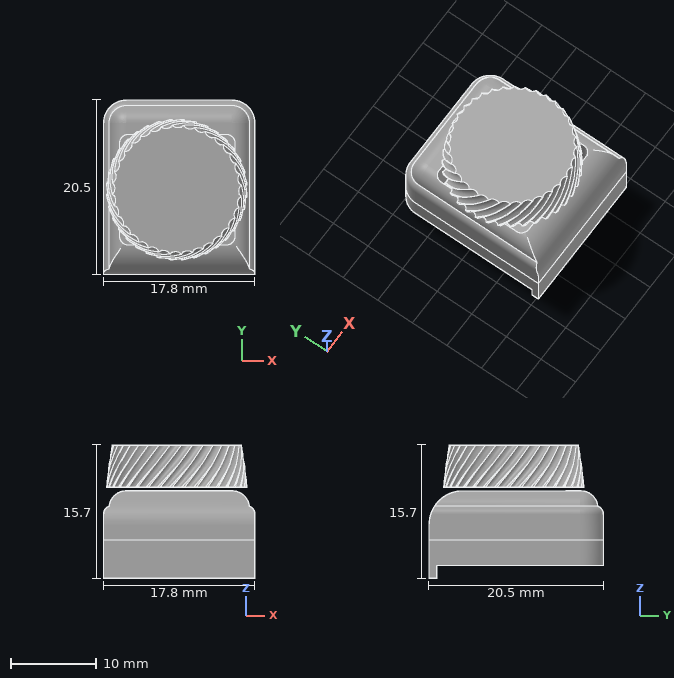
import cadquery as cq
import math

WIDTH = 17.8
LENGTH = 20.5
LIP_DEPTH = 1.5
PARTING_Z = 4.5
SHOULDER_TOP_Z = 8.55
COVER_TOP_Z = 10.3

CORNER_RADIUS = 2.7
SHOULDER_RADIUS = 1.0
CROWN_INSET = 0.64
CROWN_RADIUS = 2.05
BROW_RADIUS = 4.0

LIP_THICKNESS = 0.95
BASE_HOLE_WIDTH = 5.62
BASE_HOLE_LENGTH = 8.2

OPENING_CENTRE = (-0.23, -0.29)
OPENING_WIDTH = 13.55
OPENING_LENGTH = 12.98
OPENING_RADIUS = 1.0

KNOB_CENTRE = (-0.29, -0.29)
KNOB_BOTTOM_Z = 10.68
KNOB_TOP_Z = 15.65
KNOB_HEIGHT = KNOB_TOP_Z - KNOB_BOTTOM_Z
KNOB_BOTTOM_RADIUS = 8.26
KNOB_TOP_RADIUS = 7.7
GROOVE_COUNT = 36
GROOVE_OVERRUN = 0.2
GROOVE_STEPS = 3

GROOVE_JOIN_HEIGHT = 2.83
GROOVE_HEIGHTS = (0, GROOVE_JOIN_HEIGHT, KNOB_HEIGHT)
GROOVE_ANGLES = (0, 17.2, 29.0)
GROOVE_RADII = (0.57, 0.8, 0.88)
VALLEY_RADII = (7.83, 7.5, 7.28)

FRONT_Y = -LENGTH / 2
BACK_Y = LENGTH / 2


def rounded_back_block(inset, bottom_z, top_z):
    """A block with a square front and rounded rear corners, inset at the sides and back."""
    half_width = WIDTH / 2 - inset
    back = BACK_Y - inset
    return (
        cq.Workplane("XY", origin=(0, 0, bottom_z))
        .moveTo(-half_width, FRONT_Y)
        .lineTo(half_width, FRONT_Y)
        .lineTo(half_width, back)
        .lineTo(-half_width, back)
        .close()
        .extrude(top_z - bottom_z)
        .edges("|Z and >Y")
        .fillet(CORNER_RADIUS - inset)
    )


def make_base():
    """The lower housing: a block with a front lip below it and a rectangular hole through it."""
    block = rounded_back_block(0, LIP_DEPTH, PARTING_Z)
    lip = cq.Workplane("XY").box(WIDTH, LIP_THICKNESS, PARTING_Z, centered=(True, False, False))
    lip = lip.translate((0, FRONT_Y, 0))
    hole = cq.Workplane("XY").rect(BASE_HOLE_WIDTH, BASE_HOLE_LENGTH).extrude(PARTING_Z)
    return block.union(lip).cut(hole).solids()


def round_top(block, radius):
    """Round the top edge along the sides and back, leaving the front edge sharp."""
    return block.faces(">Z").edges("not <Y").fillet(radius)


def make_cover():
    """The upper housing: a raised crown on a shoulder, with the opening cut right through."""
    shoulder = round_top(rounded_back_block(0, PARTING_Z, SHOULDER_TOP_Z), SHOULDER_RADIUS)
    crown = round_top(rounded_back_block(CROWN_INSET, PARTING_Z, COVER_TOP_Z), CROWN_RADIUS)
    brow = (
        cq.Workplane("YZ")
        .moveTo(FRONT_Y, PARTING_Z)
        .lineTo(BACK_Y, PARTING_Z)
        .lineTo(BACK_Y, COVER_TOP_Z)
        .lineTo(FRONT_Y + BROW_RADIUS, COVER_TOP_Z)
        .radiusArc((FRONT_Y, COVER_TOP_Z - BROW_RADIUS), -BROW_RADIUS)
        .close()
        .extrude(WIDTH / 2, both=True)
    )
    opening = (
        cq.Workplane("XY", origin=(*OPENING_CENTRE, PARTING_Z))
        .rect(OPENING_WIDTH, OPENING_LENGTH)
        .extrude(COVER_TOP_Z - PARTING_Z)
        .edges("|Z")
        .fillet(OPENING_RADIUS)
    )
    return shoulder.union(crown).intersect(brow).cut(opening).solids()


def blend(values, stretch, share):
    """Value at a share of the way along one stretch of a groove."""
    start, end = values[stretch], values[stretch + 1]
    return start + share * (end - start)


def groove_section(stretch, share):
    """Horizontal circle of the first groove, its deepest point at the valley radius."""
    radius = blend(GROOVE_RADII, stretch, share)
    distance = blend(VALLEY_RADII, stretch, share) + radius
    angle = math.radians(blend(GROOVE_ANGLES, stretch, share))
    height = blend(GROOVE_HEIGHTS, stretch, share)
    centre = cq.Vector(distance * math.cos(angle), distance * math.sin(angle), height)
    return cq.Wire.makeCircle(radius, centre, cq.Vector(0, 0, 1))


def groove_cutter(stretch, start_share, end_share):
    """Twisted cutter for one stretch of the first groove."""
    shares = [start_share + i / GROOVE_STEPS * (end_share - start_share) for i in range(GROOVE_STEPS + 1)]
    return cq.Solid.makeLoft([groove_section(stretch, share) for share in shares])


def make_knob():
    """A solid cone frustum ringed by twisted grooves."""
    blank = cq.Solid.makeCone(KNOB_BOTTOM_RADIUS, KNOB_TOP_RADIUS, KNOB_HEIGHT)
    bottom_overrun = GROOVE_OVERRUN / GROOVE_JOIN_HEIGHT
    top_overrun = GROOVE_OVERRUN / (KNOB_HEIGHT - GROOVE_JOIN_HEIGHT)
    bottom_cutter = groove_cutter(0, -bottom_overrun, 1)
    top_cutter = groove_cutter(1, 0, 1 + top_overrun)
    pitch = 360 / GROOVE_COUNT
    origin = cq.Vector(0, 0, 0)
    axis = cq.Vector(0, 0, 1)
    cutters = [
        cutter.rotate(origin, axis, i * pitch)
        for i in range(GROOVE_COUNT)
        for cutter in (bottom_cutter, top_cutter)
    ]
    knob = cq.Workplane(obj=blank.cut(*cutters))
    return knob.translate((*KNOB_CENTRE, KNOB_BOTTOM_Z)).solids()


base = make_base()
cover = make_cover()
knob = make_knob()
result = cq.Compound.makeCompound([base.val(), cover.val(), knob.val()])